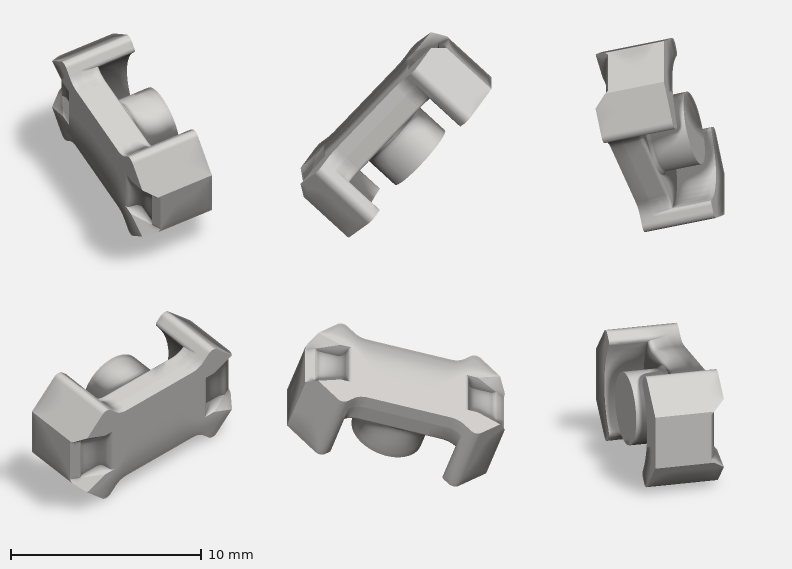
import cadquery as cq
import math

length = 11.0
depth = 3.9
half_length = length / 2
front_y = -depth / 2

end_half_height = 1.43
waist_half_height = 2.3
tip_x = 3.68
tip_radius = 0.38
waist_radius = 1.05

base_depth = 0.73
plate_depth = 1.76
plate_draft = 6.0
plate_edge_radius = 0.18

clearance_radius = 3.96
leg_edge_radius = 0.22

boss_radius = 1.95
foot_width = 0.14
foot_height = 0.19

pocket_inner_x = -3.11
pocket_wall_x = -3.31
pocket_wall_depth = 0.15
pocket_arc_end_x = -3.39
pocket_arc_end_depth = 0.43
floor_inner_x = -3.77
floor_outer_x = -4.77
floor_depth = 0.72
ridge_x = -5.0
ridge_depth = 0.59
pocket_end_depth = 0.82
pocket_half_height = 1.38
pocket_floor_half_height = 1.28
flare_edge_x = -5.02
flare_edge_z = 1.9

tool_depth = 0.88
tool_outer_x = -5.94


def section(distance):
    """Sketch plane a given distance behind the front face, facing +Y (local y is -Z)."""
    plane = cq.Plane(origin=(0, front_y + distance, 0), xDir=(1, 0, 0), normal=(0, 1, 0))
    return cq.Workplane(plane)


def outline_prism(start, height, taper=0.0):
    """Extrude the outline, with its tips and waist corners already rounded."""
    diagonal = math.sqrt(0.5)
    tip_z = end_half_height + half_length - tip_x
    tip_offset = tip_radius * diagonal
    tip_center_z = tip_z - tip_radius / diagonal
    tangent_z = tip_center_z + tip_offset
    waist_corner_x = tip_x - (tip_z - waist_half_height)
    waist_tangent = waist_radius * math.tan(math.pi / 8)
    flat_x = waist_corner_x - waist_tangent
    slope_x = waist_corner_x + waist_tangent * diagonal
    slope_z = waist_half_height + waist_tangent * diagonal
    waist_mid_x = flat_x + waist_radius * math.sin(math.pi / 8)
    waist_mid_z = waist_half_height + waist_radius * (1 - math.cos(math.pi / 8))

    sketch = section(start).moveTo(-half_length, -end_half_height).lineTo(-half_length, end_half_height)
    for side in (1, -1):
        sketch = (
            sketch.lineTo(-side * (tip_x + tip_offset), side * tangent_z)
            .threePointArc(
                (-side * tip_x, side * (tip_center_z + tip_radius)),
                (-side * (tip_x - tip_offset), side * tangent_z),
            )
            .lineTo(-side * slope_x, side * slope_z)
            .threePointArc((-side * waist_mid_x, side * waist_mid_z), (-side * flat_x, side * waist_half_height))
            .lineTo(side * flat_x, side * waist_half_height)
            .threePointArc((side * waist_mid_x, side * waist_mid_z), (side * slope_x, side * slope_z))
            .lineTo(side * (tip_x - tip_offset), side * tangent_z)
            .threePointArc(
                (side * tip_x, side * (tip_center_z + tip_radius)),
                (side * (tip_x + tip_offset), side * tangent_z),
            )
            .lineTo(side * half_length, side * end_half_height)
        )
        if side == 1:
            sketch = sketch.lineTo(half_length, -end_half_height)
    return sketch.close().extrude(height, taper=taper)


def make_legs():
    height = depth - base_depth
    clearance = section(base_depth).circle(clearance_radius).extrude(height)
    legs = outline_prism(base_depth, height).cut(clearance)
    inner_edges = cq.selectors.BoxSelector(
        (pocket_wall_x, front_y, -half_length), (-pocket_wall_x, -front_y, half_length)
    )
    return legs.edges("|Y").edges(inner_edges).fillet(leg_edge_radius)


def make_plate():
    upper = outline_prism(base_depth, plate_depth - base_depth, plate_draft)
    upper = upper.faces(">Y").edges().fillet(plate_edge_radius)
    return outline_prism(0, base_depth).union(upper)


def make_boss():
    shaft = section(base_depth).circle(boss_radius).extrude(depth - base_depth)
    foot = (
        section(plate_depth).circle(boss_radius + foot_width)
        .workplane(offset=foot_height).circle(boss_radius).loft()
    )
    return shaft.union(foot)


def symmetric_loft(front_points, back_points):
    """Loft between two regions given by their upper corners and mirrored about Z = 0."""
    def closed(points):
        return points + [(x, -z) for x, z in reversed(points)]

    return (
        section(0).polyline(closed(front_points)).close()
        .workplane(offset=tool_depth).polyline(closed(back_points)).close()
        .loft(ruled=True)
    )


def make_pocket():
    rise_angle = 2 * math.atan2(floor_depth - pocket_arc_end_depth, pocket_arc_end_x - floor_inner_x)
    rise_radius = (pocket_arc_end_x - floor_inner_x) / math.sin(rise_angle)
    rise_mid = (
        floor_inner_x + rise_radius * math.sin(rise_angle / 2),
        front_y + floor_depth - rise_radius * (1 - math.cos(rise_angle / 2)),
    )
    lip_slope = (pocket_end_depth - ridge_depth) / (half_length + ridge_x)
    outer_depth = ridge_depth + lip_slope * (ridge_x - tool_outer_x)
    profile = (
        cq.Workplane("XY", origin=(0, 0, -half_length))
        .moveTo(tool_outer_x, front_y)
        .lineTo(tool_outer_x, front_y + outer_depth)
        .lineTo(ridge_x, front_y + ridge_depth)
        .lineTo(floor_outer_x, front_y + floor_depth)
        .lineTo(floor_inner_x, front_y + floor_depth)
        .threePointArc(rise_mid, (pocket_arc_end_x, front_y + pocket_arc_end_depth))
        .lineTo(pocket_wall_x, front_y + pocket_wall_depth)
        .tangentArcPoint((pocket_inner_x, front_y), relative=False)
        .close()
        .extrude(length)
    )

    draft = (pocket_half_height - pocket_floor_half_height) / floor_depth
    back_half_height = pocket_half_height - draft * tool_depth
    walls = symmetric_loft(
        [(tool_outer_x, pocket_half_height), (0, pocket_half_height)],
        [(tool_outer_x, back_half_height), (0, back_half_height)],
    )

    spread = (flare_edge_z - pocket_half_height) / (floor_inner_x - flare_edge_x)
    outer_height = pocket_half_height + spread * (floor_inner_x - tool_outer_x)
    end_height = pocket_half_height + spread * (floor_inner_x + half_length)
    drop = (end_height - pocket_floor_half_height) / pocket_end_depth * tool_depth
    flare = symmetric_loft(
        [(tool_outer_x, outer_height), (floor_inner_x, pocket_half_height)],
        [(tool_outer_x, outer_height - drop), (floor_inner_x, pocket_half_height - drop)],
    )
    return walls.union(flare).intersect(profile)


pocket = make_pocket()
result = make_plate().union(make_legs()).union(make_boss())
result = result.cut(pocket).cut(pocket.mirror("YZ"))